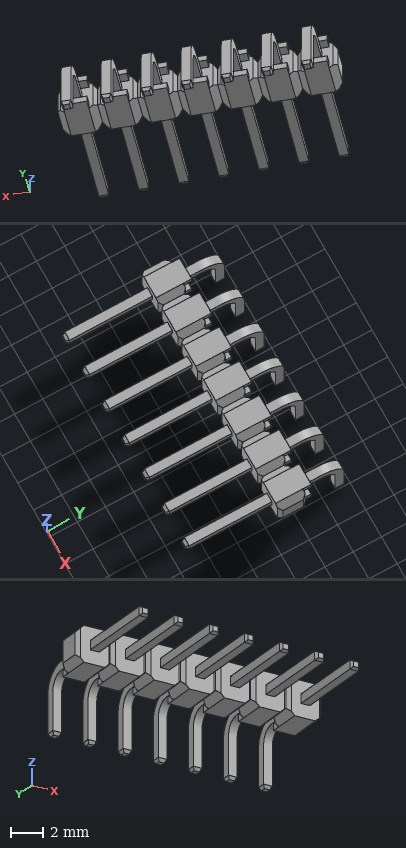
import cadquery as cq
import math


row_length = 17.78
unit_count = 7
pitch = row_length / unit_count

block_height = pitch
block_depth = 1.95
edge_bevel = 0.5
side_chamfer = 0.25
rib_length = 0.59
rib_thickness = edge_bevel
rib_width = pitch - 2 * edge_bevel

pin_size = 0.64
total_depth = 11.22
total_height = 5.55
back_overhang = 2.58
bend_inner_radius = 1.0
tip_length = 0.23
tip_inset = 0.12

half_pin = pin_size / 2
pin_back = block_depth + rib_length + back_overhang
front_tip = pin_back - total_depth
lower_tip = block_height / 2 - total_height
bend_radius = bend_inner_radius + half_pin
leg_y = pin_back - half_pin


def make_block():
    """Block with bevelled long edges and chamfered side faces."""
    bevelled = (
        cq.Workplane("XY")
        .box(pitch, block_depth, block_height)
        .edges("|Y")
        .chamfer(edge_bevel)
    )
    chamfered = (
        cq.Workplane("XY")
        .box(pitch, block_depth, block_height)
        .edges("|Z")
        .chamfer(side_chamfer)
    )
    return bevelled.intersect(chamfered).translate((0, block_depth / 2, 0))


def make_ribs():
    """Top and bottom ribs that run through the block and stand out at its rear."""
    rib_depth = block_depth + rib_length
    rib_z = (block_height - rib_thickness) / 2
    return (
        cq.Workplane("XY")
        .box(rib_width, rib_depth, rib_thickness)
        .translate((0, rib_depth / 2, rib_z))
        .mirror("XY", union=True)
    )


def make_tip(end_point, direction):
    """Tapered square tip that narrows towards end_point along direction."""
    end_size = pin_size - 2 * tip_inset
    end_plane = cq.Plane(origin=end_point, xDir=(1, 0, 0), normal=direction)
    return (
        cq.Workplane(end_plane)
        .rect(end_size, end_size)
        .workplane(offset=-tip_length)
        .rect(pin_size, pin_size)
        .loft(combine=True, ruled=True)
    )


def make_pin():
    """Square pin: straight front leg, quarter bend and downward leg."""
    bend_start = leg_y - bend_radius
    arc_middle = (
        bend_start + bend_radius * math.sin(math.pi / 4),
        -bend_radius * (1 - math.cos(math.pi / 4)),
    )
    path = (
        cq.Workplane("YZ")
        .moveTo(front_tip + tip_length, 0)
        .lineTo(bend_start, 0)
        .threePointArc(arc_middle, (leg_y, -bend_radius))
        .lineTo(leg_y, lower_tip + tip_length)
    )
    shank = (
        cq.Workplane("XZ", origin=(0, front_tip + tip_length, 0))
        .rect(pin_size, pin_size)
        .sweep(path)
    )
    front = make_tip((0, front_tip, 0), (0, -1, 0))
    lower = make_tip((0, leg_y, lower_tip), (0, 0, -1))
    return shank.union(front).union(lower)


def make_header_unit():
    """One block with its ribs and pin as a single solid."""
    return make_block().union(make_ribs()).union(make_pin())


header_unit = make_header_unit()
first_x = -(unit_count - 1) * pitch / 2
header_units = [
    header_unit.translate((first_x + index * pitch, 0, 0)).solids().val()
    for index in range(unit_count)
]

result = cq.Compound.makeCompound(header_units)